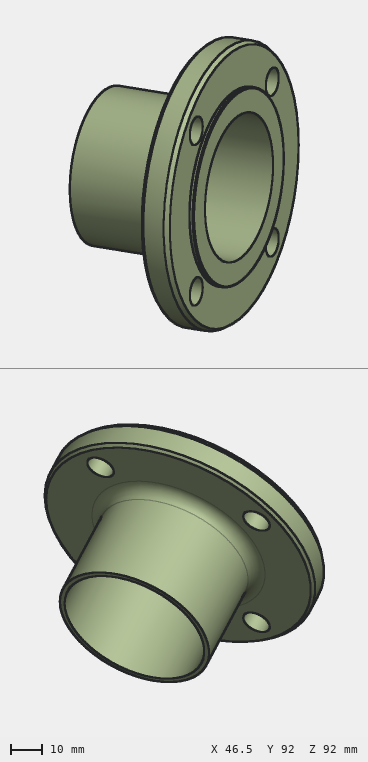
import cadquery as cq
import math

total_length = 46.5
raised_face_height = 1.7
flange_thickness = 9.8

bore_diameter = 47.5
tube_diameter = 50.8
raised_face_diameter = 63.4
flange_diameter = 92.0

neck_fillet_radius = 4.05
flange_chamfer_radial = 1.0
tube_side_chamfer_axial = 1.1
face_side_chamfer_axial = 1.7
raised_face_chamfer = 0.4
raised_face_root_chamfer = 0.3

bolt_hole_diameter = 9.0
bolt_circle_diameter = 75.0
bolt_count = 4
first_bolt_angle = 45.0

flange_front = total_length - raised_face_height
flange_back = flange_front - flange_thickness
bore_radius = bore_diameter / 2
tube_radius = tube_diameter / 2
raised_face_radius = raised_face_diameter / 2
flange_radius = flange_diameter / 2
chamfered_radius = flange_radius - flange_chamfer_radial


def make_body():
    """Tube, filleted neck, chamfered flange and raised face, revolved about X."""
    arc_inset = neck_fillet_radius * (1 - math.sqrt(0.5))
    neck_start = flange_back - neck_fillet_radius
    neck_top = tube_radius + neck_fillet_radius
    profile = (
        cq.Workplane("XY")
        .moveTo(0, bore_radius)
        .lineTo(0, tube_radius)
        .lineTo(neck_start, tube_radius)
        .threePointArc((flange_back - arc_inset, tube_radius + arc_inset), (flange_back, neck_top))
        .lineTo(flange_back, chamfered_radius)
        .lineTo(flange_back + tube_side_chamfer_axial, flange_radius)
        .lineTo(flange_front - face_side_chamfer_axial, flange_radius)
        .lineTo(flange_front, chamfered_radius)
        .lineTo(flange_front, raised_face_radius - raised_face_root_chamfer)
        .lineTo(flange_front + raised_face_root_chamfer, raised_face_radius)
        .lineTo(total_length - raised_face_chamfer, raised_face_radius)
        .lineTo(total_length, raised_face_radius - raised_face_chamfer)
        .lineTo(total_length, bore_radius)
        .close()
    )
    return profile.revolve(360, (0, 0, 0), (1, 0, 0))


def make_bolt_holes():
    """Cylinders through the flange, evenly spaced on the bolt circle."""
    return (
        cq.Workplane("YZ", origin=(flange_back, 0, 0))
        .polarArray(bolt_circle_diameter / 2, first_bolt_angle, 360, bolt_count)
        .circle(bolt_hole_diameter / 2)
        .extrude(flange_thickness)
    )


result = make_body().cut(make_bolt_holes())